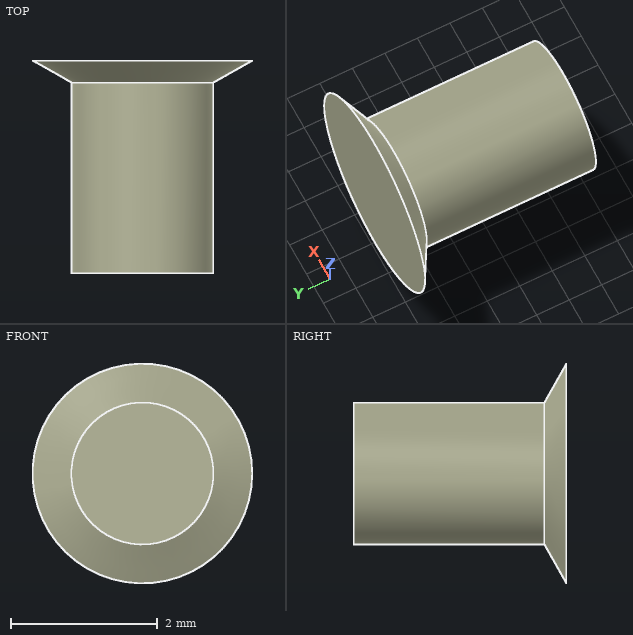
import cadquery as cq

head_diameter = 3.0
shank_diameter = 1.938
total_length = 2.9
head_height = 0.3

head_radius = head_diameter / 2
shank_radius = shank_diameter / 2
shank_length = total_length - head_height

half_section = (
    cq.Workplane("XY")
    .moveTo(0, 0)
    .lineTo(shank_radius, 0)
    .lineTo(shank_radius, shank_length)
    .lineTo(head_radius, total_length)
    .lineTo(0, total_length)
    .close()
)

result = half_section.revolve(360, (0, 0, 0), (0, 1, 0))